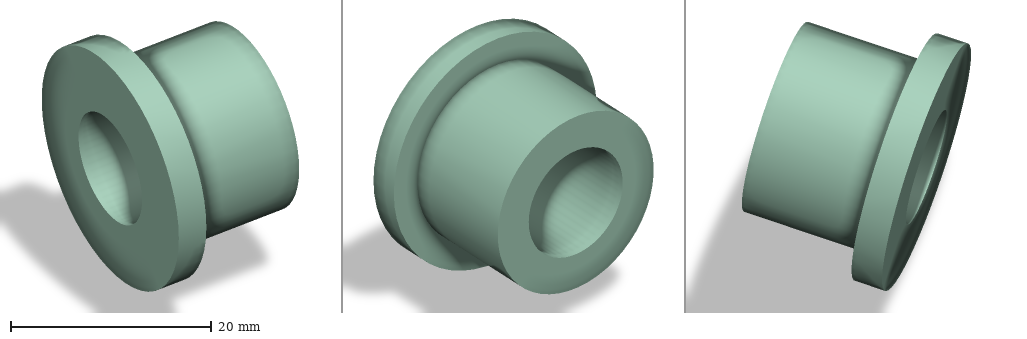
import cadquery as cq

flange_diameter = 26.1
barrel_diameter = 20.05
bore_diameter = 12.08
total_length = 16.0
flange_thickness = 3.24

flange = cq.Workplane("XZ").circle(flange_diameter / 2).extrude(-flange_thickness)
barrel = cq.Workplane("XZ").circle(barrel_diameter / 2).extrude(-total_length)
bore = cq.Workplane("XZ").circle(bore_diameter / 2).extrude(-total_length)

result = flange.union(barrel).cut(bore)